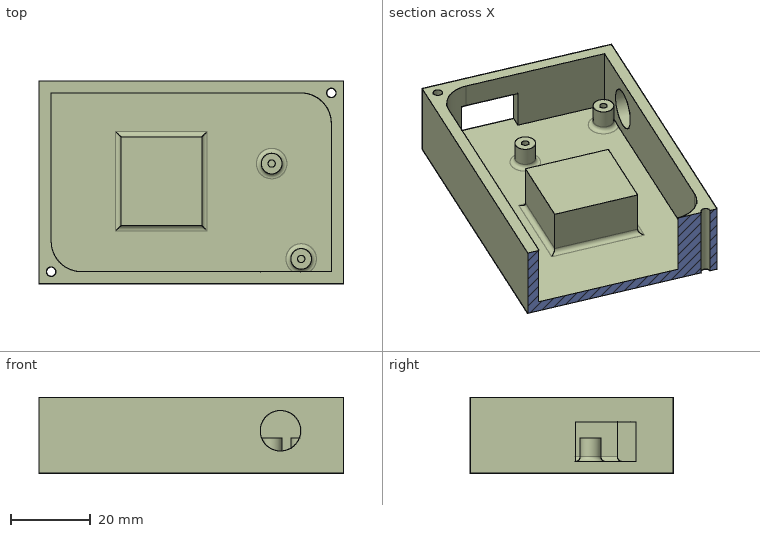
import cadquery as cq

length = 76.2
width = 50.8
height = 19.05
wall = 3.05
floor = 3.0
cavity_corner_radius = 7.6

screw_hole_diameter = 2.3
screw_hole_inset = 3.05

block_x, block_y = 20.5, 14.55
block_length = 20.3
block_width = 22.25
block_top = 15.0
block_foot_radius = 1.3

post_centers = [(58.2, 30.1), (65.6, 6.25)]
post_radius = 2.6
post_foot_radius = 1.2
post_top = 8.9
post_bore_diameter = 1.8

port_x, port_z = 60.4, 10.7
port_diameter = 10.1

window_y = 26.3
window_width = 15.2
window_top = 12.9


def box_at(x, y, z, size_x, size_y, size_z):
    """Box given by its lowest corner and its sizes."""
    return cq.Workplane("XY").box(size_x, size_y, size_z, centered=False).translate((x, y, z))


def make_shell():
    """Box with a cavity rounded only beside the two screw holes."""
    inner_length = length - 2 * wall
    inner_width = width - 2 * wall
    cavity = box_at(wall, wall, floor, inner_length, inner_width, height - floor)
    rounded_corners = cavity.edges("|Z").edges("<(1, 1, 0) or >(1, 1, 0)")
    return box_at(0, 0, 0, length, width, height).cut(rounded_corners.fillet(cavity_corner_radius))


def make_post(x, y):
    """Post with a concave fillet flaring out at its foot."""
    base_radius = post_radius + post_foot_radius
    arc_drop = post_foot_radius * (1 - 0.5**0.5)
    profile = (
        cq.Workplane("XZ")
        .lineTo(base_radius, 0)
        .lineTo(base_radius, floor)
        .threePointArc(
            (post_radius + arc_drop, floor + arc_drop),
            (post_radius, floor + post_foot_radius),
        )
        .lineTo(post_radius, post_top)
        .lineTo(0, post_top)
        .close()
    )
    return profile.revolve(360, (0, 0, 0), (0, 1, 0)).translate((x, y, 0))


def add_block(body):
    """Block joined to the floor by a concave fillet all round."""
    block = box_at(block_x, block_y, 0, block_length, block_width, block_top)
    foot_edges = cq.selectors.BoxSelector(
        (block_x - block_foot_radius, block_y - block_foot_radius, floor - block_foot_radius),
        (
            block_x + block_length + block_foot_radius,
            block_y + block_width + block_foot_radius,
            floor + block_foot_radius,
        ),
    )
    return body.union(block).edges(foot_edges).edges("#Z").fillet(block_foot_radius)


result = add_block(make_shell())

for x, y in post_centers:
    result = result.union(make_post(x, y))

bores = (
    cq.Workplane("XY", origin=(0, 0, floor))
    .pushPoints(post_centers)
    .circle(post_bore_diameter / 2)
    .extrude(post_top - floor)
)
result = result.cut(bores)

screw_holes = (
    cq.Workplane("XY")
    .pushPoints([
        (screw_hole_inset, screw_hole_inset),
        (length - screw_hole_inset, width - screw_hole_inset),
    ])
    .circle(screw_hole_diameter / 2)
    .extrude(height)
)
result = result.cut(screw_holes)

port = (
    cq.Workplane("XZ", origin=(port_x, 0, port_z))
    .circle(port_diameter / 2)
    .extrude(-wall)
)
result = result.cut(port)

window_depth = wall + cavity_corner_radius
window = box_at(
    length - window_depth, window_y, floor,
    window_depth, window_width, window_top - floor,
)
result = result.cut(window)